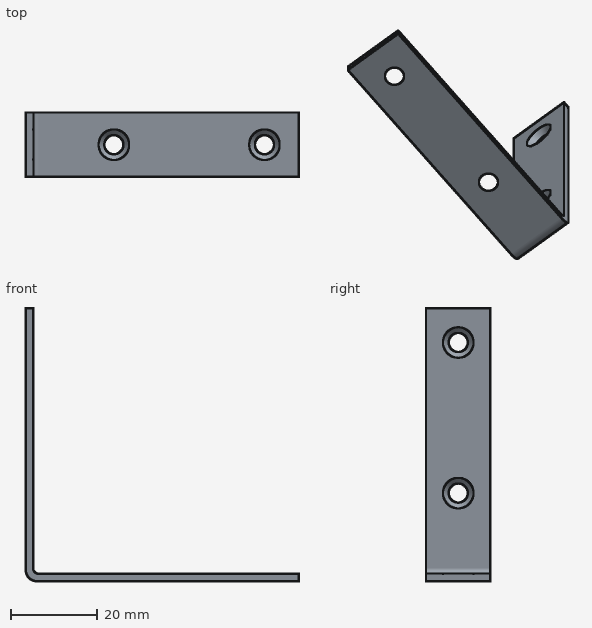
import cadquery as cq

leg_length = 63.5
width = 15.0
thickness = 1.8
inner_bend_radius = 1.3
outer_bend_radius = 2.65

near_hole = 20.5
hole_spacing = 35.0
hole_positions = (near_hole, near_hole + hole_spacing)
hole_diameter = 4.4
countersink_diameter = 7.1


def bent_strip():
    """L-shaped strip with its outer corner at X = Z = 0, centred on Y."""
    outer = cq.Workplane("XY").box(leg_length, width, leg_length, centered=(False, True, False))
    outer = outer.edges("|Y and <X and <Z").fillet(outer_bend_radius)
    inside = (
        cq.Workplane("XY", origin=(thickness, 0, thickness))
        .box(leg_length, width, leg_length, centered=(False, True, False))
        .edges("|Y and <X and <Z")
        .fillet(inner_bend_radius)
    )
    return outer.cut(inside)


def countersink(center, direction):
    """Cone through one leg, starting at its inner face and narrowing along direction."""
    return cq.Solid.makeCone(
        countersink_diameter / 2, hole_diameter / 2, thickness, pnt=center, dir=direction
    )


result = bent_strip()
for position in hole_positions:
    result = result.cut(countersink(cq.Vector(position, 0, thickness), cq.Vector(0, 0, -1)))
    result = result.cut(countersink(cq.Vector(thickness, 0, position), cq.Vector(-1, 0, 0)))